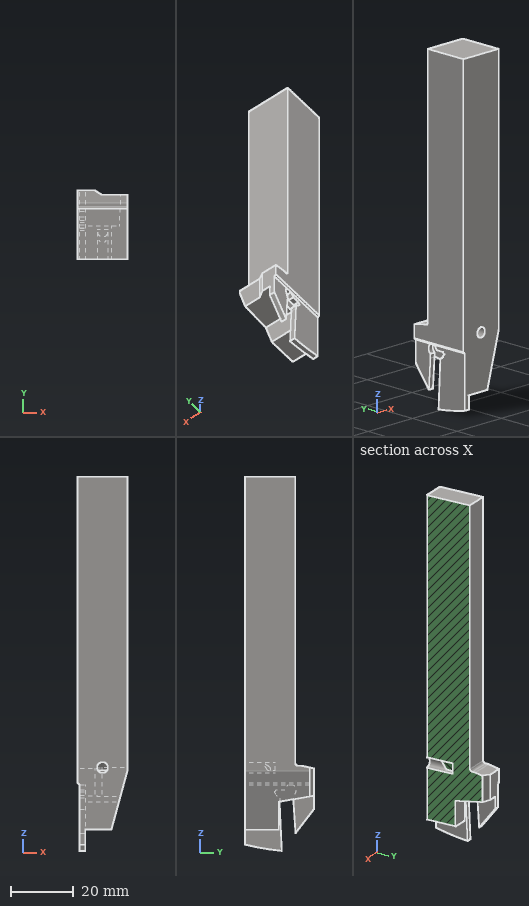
import cadquery as cq
import math

length = 119.0
width = 16.0
shank_depth = 16.1

head_depth = 22.0
shoulder_inner_z = 27.1
shoulder_break_y = 18.0
shoulder_outer_z = 26.3
shoulder_fillet = 0.8
jaw_corner_z = 13.3
relief_start_x = 5.5
relief_end_x = 7.7
relief_depth = 1.4

blade_x = 0.6
blade_back_x = 2.5
blade_step_z = 21.1
step_chamfer = blade_x
leg_heel_z = 2.0
leg_arc_mid = (6.0, 0.77)
leg_tip_y = 11.8
seat_leg_y = 11.1
seat_leg_z = 16.9
seat_jaw_y = 15.4
seat_jaw_z = 17.7
jaw_tip_y = 16.1
jaw_tip_z = 5.6

lobe_y = 16.2
lobe_mid_z = 19.4
seat_top_y = 13.6
finger_root_y = 12.5
finger_top_z = 19.5
finger_end_y = 9.9
finger_tip = (9.3, 18.8)
finger_low = (10.0, 17.7)

support_bottom_z = 6.8
support_bottom_x = 10.8
taper_top_z = 25.6
support_face_y = 10.7
ledge_z = 15.6
ledge_angle = 10.0

bore_x = width / 2
bore_z = 26.5
bore_diameter = 3.5
bore_depth = 9.5
pin_radius = 1.9
pin_axis_y = 8.9
pin_angle = 55.0
pin_length = 23.8
pin_clearance = 0.8


def ledge_height(y):
    """Height of the sloped ledge above the support, rising toward +Y."""
    return ledge_z + (y - support_face_y) * math.tan(math.radians(ledge_angle))


def prism_along_x(outline, x_start, x_end):
    """Extrude a closed YZ outline between two X positions."""
    return outline.close().extrude(x_end - x_start).translate((x_start, 0, 0))


def make_side_body():
    """Full-width side profile: shank, head, jaw and leg before the slot."""
    outline = (
        cq.Workplane("YZ")
        .moveTo(0, leg_heel_z)
        .lineTo(0, length)
        .lineTo(shank_depth, length)
        .lineTo(shank_depth, shoulder_inner_z)
        .lineTo(shoulder_break_y, shoulder_inner_z)
        .lineTo(head_depth, shoulder_outer_z)
        .lineTo(head_depth, jaw_corner_z)
        .lineTo(jaw_tip_y, jaw_tip_z)
        .lineTo(seat_jaw_y, ledge_height(seat_jaw_y))
        .lineTo(seat_leg_y, ledge_height(seat_leg_y))
        .lineTo(leg_tip_y, 0)
        .threePointArc(leg_arc_mid, (0, leg_heel_z))
    )
    return prism_along_x(outline, 0, width)


def make_front_envelope():
    """Front outline with the blade step, the thin leg and the tapered side."""
    return (
        cq.Workplane("XZ")
        .polyline([
            (0, length),
            (width, length),
            (width, taper_top_z),
            (support_bottom_x, support_bottom_z),
            (blade_back_x, support_bottom_z),
            (blade_back_x, 0),
            (blade_x, 0),
            (blade_x, blade_step_z),
            (0, blade_step_z + step_chamfer),
        ])
        .close()
        .extrude(-head_depth)
    )


def make_seat():
    """Insert seat cut through the blade only."""
    outline = (
        cq.Workplane("YZ")
        .moveTo(seat_leg_y, ledge_height(seat_leg_y))
        .lineTo(seat_leg_y, seat_leg_z)
        .lineTo(*finger_low)
        .lineTo(*finger_tip)
        .lineTo(finger_end_y, finger_top_z)
        .lineTo(finger_root_y, finger_top_z)
        .lineTo(seat_top_y, blade_step_z)
        .lineTo(seat_jaw_y, blade_step_z)
        .threePointArc((lobe_y, lobe_mid_z), (seat_jaw_y, seat_jaw_z))
        .lineTo(seat_jaw_y, ledge_height(seat_jaw_y))
    )
    return prism_along_x(outline, 0, blade_back_x)


def make_support_cut():
    """Space behind the blade, under the sloped ledge and in front of the support."""
    outline = (
        cq.Workplane("YZ")
        .moveTo(support_face_y, 0)
        .lineTo(head_depth, 0)
        .lineTo(head_depth, ledge_height(head_depth))
        .lineTo(support_face_y, ledge_z)
    )
    return prism_along_x(outline, blade_back_x, width)


def make_head_relief():
    """Shallow relief with a sloped edge on the back of the head."""
    relief_y = head_depth - relief_depth
    return (
        cq.Workplane("XY")
        .polyline([
            (relief_start_x, head_depth),
            (relief_end_x, relief_y),
            (width, relief_y),
            (width, head_depth),
        ])
        .close()
        .extrude(length)
    )


def make_bore():
    """Blind cross bore entering from the -Y face."""
    return (
        cq.Workplane("XZ")
        .center(bore_x, bore_z)
        .circle(bore_diameter / 2)
        .extrude(-bore_depth)
    )


def make_holder():
    holder = make_side_body()
    corner = cq.selectors.NearestToPointSelector((width / 2, shank_depth, shoulder_inner_z))
    holder = holder.edges(corner).fillet(shoulder_fillet)
    holder = holder.intersect(make_front_envelope())
    for cut in (make_support_cut(), make_seat(), make_head_relief(), make_bore()):
        holder = holder.cut(cut)
    return holder


def make_pin():
    """Slanted round pin trimmed to the bore, clear of the bottom of the bore."""
    angle = math.radians(pin_angle)
    axis = cq.Vector(0, math.cos(angle), -math.sin(angle))
    start = cq.Vector(bore_x, pin_axis_y, bore_z) - axis * (pin_length / 2)
    rod = cq.Workplane(cq.Solid.makeCylinder(pin_radius, pin_length, start, axis))
    pin_bottom_z = bore_z - bore_diameter / 2 + pin_clearance
    above_gap = (
        cq.Workplane("XY", origin=(bore_x, bore_depth / 2, pin_bottom_z))
        .rect(bore_diameter, bore_depth)
        .extrude(bore_diameter)
    )
    return make_bore().intersect(rod).intersect(above_gap)


holder = make_holder()
pin = make_pin()
result = cq.Compound.makeCompound([*holder.solids().vals(), *pin.solids().vals()])